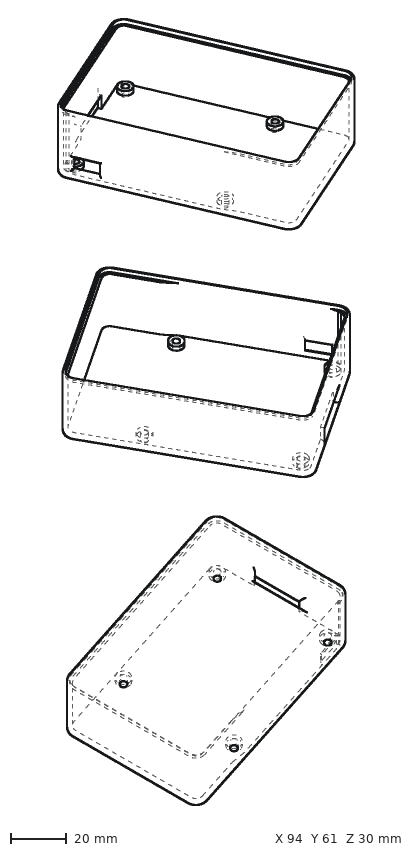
import cadquery as cq
import math

length = 94.0
width = 61.0
height = 30.0
wall = 2.0
floor = 2.0
corner_radius = 5.0
edge_radius = 1.0

lip_thickness = 1.0
lip_depth = 2.0

standoff_diameter = 6.0
standoff_height = 2.0
screw_hole_diameter = 2.75
standoff_inset = 6.0
standoff_pitch_x = 58.0
standoff_pitch_y = 49.0

thin_wall = 1.0
thin_start = 7.8
thin_end = 64.5
start_taper = 3.8
end_taper = 6.0

front_window_length = 10.0
front_window_height = 5.0
front_window_start = 7.5
front_window_bottom = 5.0

side_window_length = 20.0
side_window_height = 6.0
side_window_start = 21.6
side_window_bottom = floor
side_sill_drop = side_window_bottom - edge_radius

through_cut = 0.5


def rounded_block(inset, bottom, top):
    """Upright block inset from the outer outline, with matching corner rounding."""
    return (
        cq.Workplane("XY", origin=(length / 2, width / 2, bottom))
        .rect(length - 2 * inset, width - 2 * inset)
        .extrude(top - bottom)
        .edges("|Z")
        .fillet(corner_radius - inset)
    )


def make_tray():
    outer = rounded_block(0, 0, height).faces("<Z or >Z").edges().fillet(edge_radius)
    cavity = rounded_block(wall, floor, height)
    rabbet = rounded_block(lip_thickness, height - lip_depth, height)
    return outer.cut(cavity).cut(rabbet)


def thin_front_wall(tray):
    relief = (
        cq.Workplane("XY", origin=(0, 0, floor))
        .moveTo(thin_start, thin_wall)
        .lineTo(thin_end, thin_wall)
        .lineTo(thin_end + end_taper, wall)
        .lineTo(thin_start - start_taper, wall)
        .close()
        .extrude(height - floor)
    )
    return tray.cut(relief)


def flared_prism(plane, low, high, low_flare, depth, reach):
    """Prism through a wall of the given depth, reaching equally to both sides of its plane.

    Local x runs across the opening from low to high, local y runs into the wall.
    Both sides widen toward the mouth on arcs tangent to the opening: the low side by low_flare,
    the high side by the wall depth as a quarter round.
    """
    through = depth + through_cut
    arc_offset = depth * (1 - math.sqrt(0.5))
    return (
        cq.Workplane(plane)
        .moveTo(low, through)
        .lineTo(low, depth)
        .tangentArcPoint((low - low_flare, 0), relative=False)
        .lineTo(high + depth, 0)
        .threePointArc((high + arc_offset, arc_offset), (high, depth))
        .lineTo(high, through)
        .close()
        .extrude(reach, both=True)
    )


def flared_window(along, inward, start, bottom, opening_length, opening_height, depth, sill_drop):
    """Window cutter through a wall whose outer face contains the Z axis.

    The jambs and head widen outward by the wall depth, as quarter rounds, and the sill falls by
    sill_drop. The flared sides meet in mitres.
    """
    origin = cq.Vector(0, 0, 0)
    up = cq.Vector(0, 0, 1)
    end = start + opening_length
    top = bottom + opening_height
    level_plane = cq.Plane(origin, along, along.cross(inward))
    upright_plane = cq.Plane(origin, up, up.cross(inward))
    level = flared_prism(level_plane, start, end, depth, depth, top + depth)
    upright = flared_prism(upright_plane, bottom, top, sill_drop, depth, end + depth)
    return level.intersect(upright)


def cut_windows(tray):
    x_axis = cq.Vector(1, 0, 0)
    y_axis = cq.Vector(0, 1, 0)
    front = flared_window(
        x_axis,
        y_axis,
        front_window_start,
        front_window_bottom,
        front_window_length,
        front_window_height,
        thin_wall,
        thin_wall,
    )
    side = flared_window(
        y_axis,
        x_axis,
        side_window_start,
        side_window_bottom,
        side_window_length,
        side_window_height,
        wall,
        side_sill_drop,
    )
    return tray.cut(front).cut(side)


def add_standoffs(tray):
    centers = [
        (standoff_inset + column * standoff_pitch_x, standoff_inset + row * standoff_pitch_y)
        for column in (0, 1)
        for row in (0, 1)
    ]
    posts = (
        cq.Workplane("XY", origin=(0, 0, floor))
        .pushPoints(centers)
        .circle(standoff_diameter / 2)
        .extrude(standoff_height)
    )
    screw_holes = (
        cq.Workplane("XY")
        .pushPoints(centers)
        .circle(screw_hole_diameter / 2)
        .extrude(floor + standoff_height)
    )
    return tray.union(posts).cut(screw_holes)


result = add_standoffs(cut_windows(thin_front_wall(make_tray())))